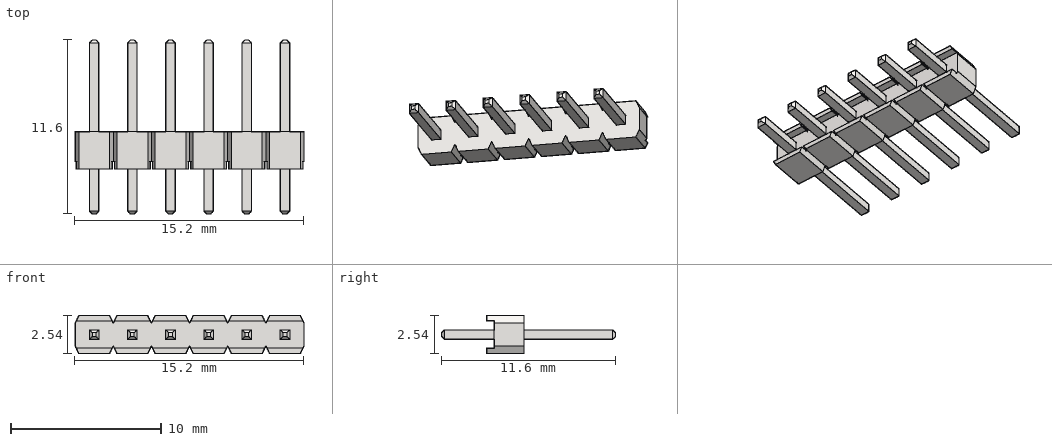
import cadquery as cq

PIN_COUNT = 6
HOUSING_LENGTH = 15.24
PITCH = HOUSING_LENGTH / PIN_COUNT
HOUSING_HEIGHT = PITCH
HOUSING_DEPTH = 2.5

NOTCH_DEPTH = 0.5
NOTCH_HALF_WIDTH = 0.25

RECESS_DEPTH = 0.5
LIP_THICKNESS = 0.37

PIN_WIDTH = 0.64
PIN_LENGTH = 11.6
PIN_TIP_BEVEL = 0.2
PIN_FRONT_OVERHANG = 3.0

HOUSING_FRONT_Y = -HOUSING_DEPTH / 2
HOUSING_LEFT_X = -HOUSING_LENGTH / 2
PIN_CENTER_Y = HOUSING_FRONT_Y - PIN_FRONT_OVERHANG + PIN_LENGTH / 2
PIN_X_POSITIONS = [HOUSING_LEFT_X + (i + 0.5) * PITCH for i in range(PIN_COUNT)]


def make_notch_cutters():
    """V-shaped prisms along Y at every segment boundary, on the top and bottom."""
    cutters = cq.Workplane("XY")
    for boundary in range(PIN_COUNT + 1):
        x = HOUSING_LEFT_X + boundary * PITCH
        for side in (1, -1):
            outer_z = side * HOUSING_HEIGHT / 2
            root_z = outer_z - side * NOTCH_DEPTH
            cutter = (
                cq.Workplane("XZ")
                .polyline([
                    (x - NOTCH_HALF_WIDTH, outer_z),
                    (x + NOTCH_HALF_WIDTH, outer_z),
                    (x, root_z),
                ])
                .close()
                .extrude(HOUSING_DEPTH / 2, both=True)
            )
            cutters = cutters.add(cutter)
    return cutters.vals()


def make_recess_cutter():
    """Slot running the full length of the -Y face."""
    return cq.Workplane("XY").box(
        HOUSING_LENGTH, RECESS_DEPTH, HOUSING_HEIGHT - 2 * LIP_THICKNESS
    ).translate((0, HOUSING_FRONT_Y + RECESS_DEPTH / 2, 0))


def make_pin_holes():
    """Square prisms that open the housing for the pins."""
    return (
        cq.Workplane("XZ")
        .pushPoints([(x, 0) for x in PIN_X_POSITIONS])
        .rect(PIN_WIDTH, PIN_WIDTH)
        .extrude(HOUSING_DEPTH / 2, both=True)
    )


def make_housing():
    """Insulator block with notches, front recess and pin holes."""
    block = cq.Workplane("XY").box(HOUSING_LENGTH, HOUSING_DEPTH, HOUSING_HEIGHT)
    for cutter in make_notch_cutters():
        block = block.cut(cq.Workplane(cutter))
    return block.cut(make_recess_cutter()).cut(make_pin_holes()).solids()


def make_pin(x):
    """Straight square pin, bevelled on all four sides of both tips."""
    return (
        cq.Workplane("XY")
        .box(PIN_WIDTH, PIN_LENGTH, PIN_WIDTH)
        .faces("<Y or >Y")
        .chamfer(PIN_TIP_BEVEL)
        .translate((x, PIN_CENTER_Y, 0))
        .solids()
    )


housing = make_housing()
pins = [make_pin(x) for x in PIN_X_POSITIONS]

result = cq.Compound.makeCompound([housing.val(), *[pin.val() for pin in pins]])